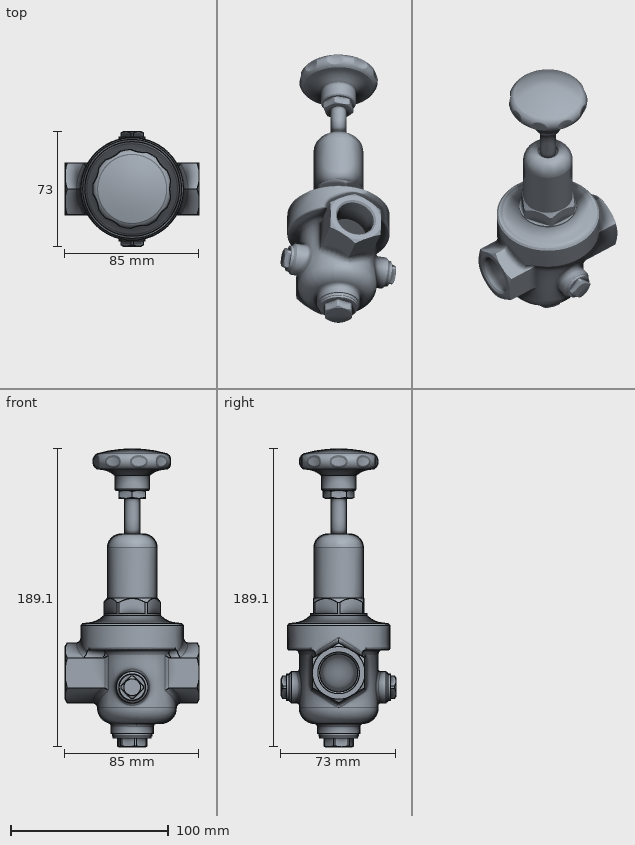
import cadquery as cq
import math


HEX_SIDES = 6
HEX_HALF_ANGLE = math.pi / HEX_SIDES
CHAMFER_ANGLE = math.pi / 6
SEAM_TURN = 45.0
MARGIN = 0.2

BODY_R = 25.0
BODY_OFFSET_X = 3.0
BODY_BOTTOM_Z = -32.1
BODY_BOTTOM_ROUND = 10.0
NECK_FILLET = 2.6

RING_R = 32.5
RING_BOTTOM_Z = 14.6
RING_TOP_Z = 31.2
RING_BOTTOM_ROUND = 1.2
RING_TOP_CHAMFER = 1.1

PORT_LENGTH = 85.0
PORT_FLATS = 33.0
PORT_CORNER_R = PORT_FLATS / 2 / math.cos(HEX_HALF_ANGLE)
PORT_END_R = 16.7
PORT_BORE_D = 24.12
PORT_BORE_DEPTH = 20.0
PORT_MOUTH_D = 26.4
PORT_FILLET = 3.0

WEB_WIDTH = NECK_FILLET / math.tan(HEX_HALF_ANGLE / 2)
WEB_OUTER_Y = PORT_FLATS - RING_BOTTOM_Z / math.tan(HEX_HALF_ANGLE) + WEB_WIDTH

GAUGE_Z = -9.1
GAUGE_BOSS_D = 20.0
GAUGE_BOSS_Y = 31.4
GAUGE_BOSS_CHAMFER = 1.5
GAUGE_BOSS_FILLET = 1.5
GAUGE_WASHER_D = 16.5
GAUGE_WASHER_Y = 33.0
GAUGE_PLUG_Y = 36.5
GAUGE_PLUG_SIDES = 4
GAUGE_PLUG_FLATS = 11.2
GAUGE_PLUG_CORNER_D = 14.5
GAUGE_PLUG_END_D = 10.7

BOTTOM_BOSS_D = 27.0
BOTTOM_BOSS_Z = -38.4
BOTTOM_BOSS_FILLET = 1.8
COLLAR_D = 25.0
COLLAR_Z = -40.1
BOTTOM_WASHER_D = 24.12
BOTTOM_WASHER_Z = -41.4
BOTTOM_Z = -47.0
BOTTOM_PLUG_FLATS = 17.0
BOTTOM_PLUG_CORNER_D = 19.0
BOTTOM_PLUG_END_D = 16.5
BOTTOM_PLUG_TURN = -17.0

BONNET_FLANGE_R = 30.0
BONNET_RIM_R = 28.7
BONNET_RIM_Z = 31.7
BONNET_HEX_FLATS = 32.0
BONNET_HEX_CORNER_D = 36.0
BONNET_HEX_BASE_Z = 36.4
BONNET_HEX_BOTTOM_Z = 37.7
BONNET_HEX_TOP_Z = 47.5
BONNET_HEX_CHAMFER_HEIGHT = 2.7
BONNET_SWEEP_MID_R = 21.5
BONNET_SWEEP_MID_Z = 33.6
BONNET_D = 31.5
BONNET_TOP_Z = 88.1
BONNET_TOP_ROUND = 8.7
SPINDLE_HOLE_D = 12.3
SPINDLE_HOLE_DEPTH = 1.8
SPINDLE_HOLE_CHAMFER = 0.8

SPINDLE_D = 10.0
NUT_FLATS = 17.0
NUT_TURN = 30.0
NUT_BOTTOM_Z = 110.7
HUB_D = 22.0
HUB_BOTTOM_Z = 115.8
HUB_TOP_Z = 125.3
HUB_CHAMFER = 0.7
WHEEL_R = 25.0
WHEEL_UNDERSIDE_R = 22.0
WHEEL_UNDERSIDE_Z = 129.2
WHEEL_FACE_R = 21.9
WHEEL_FACE_Z = 139.0
WHEEL_TOP_Z = 142.1
WHEEL_FLARE_R = 15.5
WHEEL_FLARE_Z = 128.1
GRIP_COUNT = 9
GRIP_CUTTER_R = 20.0
GRIP_DEPTH = 1.2
GRIP_EDGE_ROUND = 1.0


def revolve_z(profile):
    """Revolve a closed XZ profile about the Z axis."""
    return profile.close().revolve(360, (0, 0, 0), (0, 1, 0))


def disk(diameter, z_from, z_to):
    """Vertical cylinder on the Z axis between two heights."""
    return cq.Workplane("XY").workplane(offset=z_from).circle(diameter / 2).extrude(z_to - z_from)


def prism(sides, flats, height, turn=0.0):
    """Regular prism standing on the XY plane, first corner at angle `turn` from X."""
    corners = flats / math.cos(math.pi / sides)
    return cq.Workplane("XY").polygon(sides, corners).extrude(height).rotate((0, 0, 0), (0, 0, 1), turn)


def turned_blank(corner_d, end_d, height, chamfer_height):
    """Turned bar with a conical top end, used to trim the corners of prisms."""
    return revolve_z(
        cq.Workplane("XZ")
        .lineTo(corner_d / 2, 0)
        .lineTo(corner_d / 2, height - chamfer_height)
        .lineTo(end_d / 2, height)
        .lineTo(0, height)
    )


def plug_head(sides, flats, corner_d, end_d, height, turn=0.0):
    """Wrench head with trimmed corners and a 30 degree end chamfer."""
    chamfer_height = (corner_d - end_d) / 2 * math.tan(CHAMFER_ANGLE)
    blank = turned_blank(corner_d, end_d, height, chamfer_height)
    return prism(sides, flats, height, turn).intersect(blank)


def make_neck():
    """Concave collar between the body and the underside of the diaphragm ring."""
    sag = NECK_FILLET * (1 - math.sqrt(0.5))
    start_z = RING_BOTTOM_Z - NECK_FILLET
    profile = (
        cq.Workplane("XZ")
        .moveTo(0, start_z)
        .lineTo(BODY_R, start_z)
        .threePointArc((BODY_R + sag, RING_BOTTOM_Z - sag), (BODY_R + NECK_FILLET, RING_BOTTOM_Z))
        .lineTo(0, RING_BOTTOM_Z)
    )
    return turn_seam(revolve_z(profile)).translate((BODY_OFFSET_X, 0, 0))


def make_ring():
    """Diaphragm ring with a chamfered top and a rounded bottom edge."""
    ring = disk(2 * RING_R, RING_BOTTOM_Z, RING_TOP_Z)
    return ring.faces(">Z").chamfer(RING_TOP_CHAMFER).faces("<Z").edges().fillet(RING_BOTTOM_ROUND)


def make_ports():
    """One hexagon bar through the body, corners on top and bottom, ends chamfered."""
    half = PORT_LENGTH / 2
    chamfer_length = (PORT_CORNER_R - PORT_END_R) * math.tan(CHAMFER_ANGLE)
    bar = prism(HEX_SIDES, PORT_FLATS, half)
    bar = bar.intersect(turned_blank(2 * PORT_CORNER_R, 2 * PORT_END_R, half, chamfer_length))
    outlet = bar.rotate((0, 0, 0), (0, 1, 0), 90)
    return outlet.union(outlet.mirror("YZ"))


def make_port_bore():
    """Cutter for the outlet bore with its conical mouth."""
    half = PORT_LENGTH / 2
    mouth_depth = (PORT_MOUTH_D - PORT_BORE_D) / 2
    bore = disk(PORT_BORE_D, 0, PORT_BORE_DEPTH)
    mouth = cq.Workplane("XY").circle(PORT_MOUTH_D / 2).workplane(offset=mouth_depth)
    mouth = mouth.circle(PORT_BORE_D / 2).loft()
    return bore.union(mouth).rotate((0, 0, 0), (0, 1, 0), -90).translate((half, 0, 0))


def make_gauge_boss():
    """Round boss on the +Y side."""
    boss = cq.Workplane("XY").circle(GAUGE_BOSS_D / 2).extrude(GAUGE_BOSS_Y)
    return to_plus_y(boss.faces(">Z").chamfer(GAUGE_BOSS_CHAMFER))


def make_gauge_plug():
    """Washer and square-headed plug on the +Y boss."""
    washer = disk(GAUGE_WASHER_D, GAUGE_BOSS_Y, GAUGE_WASHER_Y)
    height = GAUGE_PLUG_Y - GAUGE_WASHER_Y
    head = plug_head(GAUGE_PLUG_SIDES, GAUGE_PLUG_FLATS, GAUGE_PLUG_CORNER_D, GAUGE_PLUG_END_D, height)
    return to_plus_y(washer.union(head.translate((0, 0, GAUGE_WASHER_Y))))


def to_plus_y(shape):
    """Lay a shape built along +Z on the +Y gauge axis."""
    return shape.rotate((0, 0, 0), (1, 0, 0), -90).translate((0, 0, GAUGE_Z))


def make_bottom_plug():
    """Collar, washer and hexagon plug below the bottom boss."""
    collar = disk(COLLAR_D, COLLAR_Z, BOTTOM_BOSS_Z)
    washer = disk(BOTTOM_WASHER_D, BOTTOM_WASHER_Z, COLLAR_Z)
    height = BOTTOM_WASHER_Z - BOTTOM_Z
    head = plug_head(
        HEX_SIDES,
        BOTTOM_PLUG_FLATS,
        BOTTOM_PLUG_CORNER_D,
        BOTTOM_PLUG_END_D,
        height,
        BOTTOM_PLUG_TURN,
    )
    head = head.mirror("XY").translate((0, 0, BOTTOM_WASHER_Z))
    return collar.union(washer).union(head)


def make_bonnet():
    """Sloping flange, hexagon and round-topped spring housing."""
    hex_r = BONNET_HEX_CORNER_D / 2
    flange = revolve_z(
        cq.Workplane("XZ")
        .moveTo(0, RING_BOTTOM_Z)
        .lineTo(BONNET_FLANGE_R, RING_BOTTOM_Z)
        .lineTo(BONNET_FLANGE_R, RING_TOP_Z)
        .lineTo(BONNET_RIM_R, BONNET_RIM_Z)
        .threePointArc((BONNET_SWEEP_MID_R, BONNET_SWEEP_MID_Z), (hex_r, BONNET_HEX_BASE_Z))
        .lineTo(hex_r, BONNET_HEX_BOTTOM_Z)
        .lineTo(0, BONNET_HEX_BOTTOM_Z)
    )
    hex_height = BONNET_HEX_TOP_Z - BONNET_HEX_BOTTOM_Z
    blank = turned_blank(BONNET_HEX_CORNER_D, BONNET_D, hex_height, BONNET_HEX_CHAMFER_HEIGHT)
    hexagon = prism(HEX_SIDES, BONNET_HEX_FLATS, hex_height).intersect(blank)
    housing = disk(BONNET_D, BONNET_HEX_BOTTOM_Z, BONNET_TOP_Z)
    housing = housing.faces(">Z").edges().fillet(BONNET_TOP_ROUND)
    bonnet = flange.union(hexagon.translate((0, 0, BONNET_HEX_BOTTOM_Z))).union(housing)
    bonnet = bonnet.cut(disk(SPINDLE_HOLE_D, BONNET_TOP_Z - SPINDLE_HOLE_DEPTH, BONNET_TOP_Z))
    hole_rim = bonnet.faces(">Z").edges(cq.selectors.RadiusNthSelector(0))
    return hole_rim.chamfer(SPINDLE_HOLE_CHAMFER)


def make_spindle():
    """Spindle with its lock nut, reaching from inside the bonnet into the hub."""
    spindle = disk(SPINDLE_D, BONNET_TOP_Z - BONNET_TOP_ROUND, HUB_TOP_Z)
    height = HUB_BOTTOM_Z - NUT_BOTTOM_Z
    corner_d = NUT_FLATS / math.cos(HEX_HALF_ANGLE)
    chamfered_end = plug_head(HEX_SIDES, NUT_FLATS, corner_d, NUT_FLATS, height, NUT_TURN)
    nut = chamfered_end.intersect(chamfered_end.mirror("XY").translate((0, 0, height)))
    return spindle.union(nut.translate((0, 0, NUT_BOTTOM_Z)))


def make_handwheel():
    """Domed handwheel with finger grips hollowed into its rounded rim."""
    hub_r = HUB_D / 2
    dome_rise = WHEEL_TOP_Z - WHEEL_FACE_Z
    dome_angle = 2 * math.atan(dome_rise / WHEEL_FACE_R)
    rim_mid_z = (WHEEL_UNDERSIDE_Z + WHEEL_FACE_Z) / 2
    dome_radius = WHEEL_FACE_R / math.sin(dome_angle)
    wheel = revolve_z(
        cq.Workplane("XZ")
        .moveTo(0, HUB_BOTTOM_Z)
        .lineTo(hub_r - HUB_CHAMFER, HUB_BOTTOM_Z)
        .lineTo(hub_r, HUB_BOTTOM_Z + HUB_CHAMFER)
        .lineTo(hub_r, HUB_TOP_Z)
        .threePointArc((WHEEL_FLARE_R, WHEEL_FLARE_Z), (WHEEL_UNDERSIDE_R, WHEEL_UNDERSIDE_Z))
        .threePointArc((WHEEL_R, rim_mid_z), (WHEEL_FACE_R, WHEEL_FACE_Z))
        .radiusArc((0, WHEEL_TOP_Z), -dome_radius)
    )
    cutter_x = WHEEL_R - GRIP_DEPTH + GRIP_CUTTER_R
    cutter = disk(2 * GRIP_CUTTER_R, HUB_TOP_Z, WHEEL_TOP_Z).translate((cutter_x, 0, 0))
    for index in range(GRIP_COUNT):
        wheel = wheel.cut(cutter.rotate((0, 0, 0), (0, 0, 1), 360 / GRIP_COUNT * index))
    rim_edges = cq.selectors.BoxSelector(
        (-WHEEL_R, -WHEEL_R, WHEEL_UNDERSIDE_Z + MARGIN), (WHEEL_R, WHEEL_R, WHEEL_FACE_Z - MARGIN), True
    )
    return wheel.edges(rim_edges).fillet(GRIP_EDGE_ROUND)


def turn_seam(shape):
    """Turn a round shape so that its seam does not meet the ports."""
    return shape.rotate((0, 0, 0), (0, 0, 1), SEAM_TURN)


def blend_ports(cylinder):
    """Join the ports to an upright cylinder and fillet the whole hexagonal joint."""
    joined = cylinder.union(make_ports())
    reach = RING_R + MARGIN
    half = PORT_CORNER_R + MARGIN
    zone = cq.selectors.BoxSelector((-reach, -half, -half), (reach, half, half), True)
    return joined.edges(zone).fillet(PORT_FILLET)


def slab(width, z_from, z_to):
    """Block along the pipe axis, centred on it in plan, between two heights."""
    block = cq.Workplane("XY").workplane(offset=z_from).rect(2 * PORT_LENGTH, width)
    return block.extrude(z_to - z_from)


def make_webs():
    """Concave webs filling the narrow gap between the ring underside and the sloping port flats."""
    inner_y = WEB_OUTER_Y - WEB_WIDTH
    slope = HEX_HALF_ANGLE
    flat_point = (inner_y + WEB_WIDTH * math.cos(slope), RING_BOTTOM_Z - WEB_WIDTH * math.sin(slope))
    mid_y = WEB_OUTER_Y - NECK_FILLET * math.cos(slope / 2)
    mid_z = RING_BOTTOM_Z - NECK_FILLET + NECK_FILLET * math.sin(slope / 2)
    web = (
        cq.Workplane("YZ")
        .moveTo(inner_y, RING_BOTTOM_Z)
        .lineTo(WEB_OUTER_Y, RING_BOTTOM_Z)
        .threePointArc((mid_y, mid_z), flat_point)
        .close()
        .extrude(RING_R + PORT_FILLET, both=True)
    )
    return web.union(web.mirror("XZ"))


def make_housing():
    """Body, ring and ports with the fillets between them."""
    column = disk(2 * BODY_R, BODY_BOTTOM_Z, RING_TOP_Z).faces("<Z").edges().fillet(BODY_BOTTOM_ROUND)
    lower = blend_ports(turn_seam(column).translate((BODY_OFFSET_X, 0, 0)))
    lower = lower.intersect(slab(PORT_LENGTH, BODY_BOTTOM_Z, RING_BOTTOM_Z))

    ring_column = turn_seam(disk(2 * RING_R, BODY_BOTTOM_Z, RING_TOP_Z))
    above_ring_bottom = slab(2 * WEB_OUTER_Y, RING_BOTTOM_Z, PORT_CORNER_R + PORT_FILLET + MARGIN)
    upper = blend_ports(ring_column).intersect(above_ring_bottom.union(make_webs()))
    return lower.union(upper).union(turn_seam(make_ring())).union(make_neck())


def add_gauge_bosses(housing):
    """Add both gauge bosses and fillet their curved joint lines with the body."""
    boss = make_gauge_boss()
    joined = housing.union(boss).union(boss.mirror("XZ"))
    half = GAUGE_BOSS_D / 2 + MARGIN
    zone_bottom = (-half, -BODY_R - MARGIN, GAUGE_Z - half)
    zone_top = (half, BODY_R + MARGIN, GAUGE_Z + half)
    joints = cq.selectors.BoxSelector(zone_bottom, zone_top, True)
    return joined.edges(joints).fillet(GAUGE_BOSS_FILLET)


def add_bottom_boss(housing):
    """Add the bottom boss and fillet its joint line with the body."""
    joined = housing.union(disk(BOTTOM_BOSS_D, BOTTOM_BOSS_Z, BODY_BOTTOM_Z + BODY_BOTTOM_ROUND))
    half = BOTTOM_BOSS_D / 2 + MARGIN
    zone_bottom = (-half, -half, BODY_BOTTOM_Z - MARGIN)
    zone_top = (half, half, BODY_BOTTOM_Z + MARGIN)
    joints = cq.selectors.BoxSelector(zone_bottom, zone_top, True)
    return joined.edges(joints).fillet(BOTTOM_BOSS_FILLET)


def add_port_bores(shape):
    """Bore both ports from their ends."""
    bore = make_port_bore()
    return shape.cut(bore).cut(bore.mirror("YZ"))


housing = add_bottom_boss(add_gauge_bosses(make_housing()))
gauge_plug = make_gauge_plug()
result = (
    add_port_bores(housing)
    .union(gauge_plug)
    .union(gauge_plug.mirror("XZ"))
    .union(make_bottom_plug())
    .union(make_bonnet())
    .union(make_spindle())
    .union(make_handwheel())
)